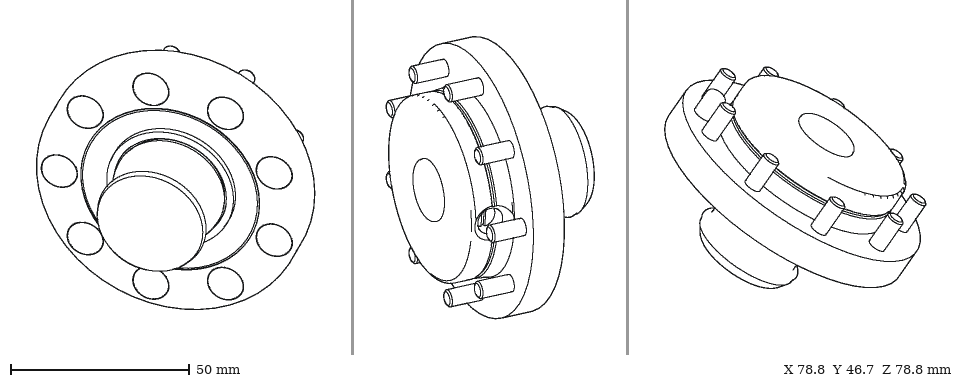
import cadquery as cq
import math


FLANGE_RADIUS = 39.4
FLANGE_FRONT = -10.0
FLANGE_EDGE_ROUND = 0.7
FLANGE_MIDDLE = FLANGE_FRONT / 2

HUB_BASE_RADIUS = 27.5
HUB_BASE_END = 0.5
HUB_SHOULDER_RADIUS = 27.3
HUB_SHOULDER_Y = 1.2
HUB_BODY_RADIUS = 26.95
GROOVE_RADIUS = 26.5
GROOVE_START = 5.05
GROOVE_FLOOR_START = 5.5
GROOVE_END = 6.4
HUB_END = 12.7
HUB_EDGE_ROUND = 0.95
PAD_RADIUS = 9.0
PAD_END = 14.0
PAD_EDGE_ROUND = 0.95

PORT_Y = 6.4
PORT_MOUTH_DIAMETER = 11.5
PORT_BORE_DIAMETER = 7.8
PORT_DEPTH = 8.0
PLUG_DIAMETER = 7.0
PLUG_HEIGHT = 2.0
PLUG_SLOT_WIDTH = 1.2
PLUG_SLOT_DEPTH = 1.0
PLUG_SLOT_TILT = 4.0

SEAM_RADIUS = 26.2
SEAM_WIDTH = 0.55
SEAM_DEPTH = 0.3
RECESS_RADIUS = 22.7
RECESS_FLOOR_RADIUS = 20.92
RECESS_DEPTH = 2.0
RECESS_ROUND = 1.0
COLLAR_RADIUS = 18.6
COLLAR_FRONT = FLANGE_FRONT + 0.1
COLLAR_BORE_RADIUS = 16.5
COLLAR_BORE_DEPTH = 1.0

KNOB_NECK_RADIUS = 15.7
KNOB_BULGE_RADIUS = 16.15
KNOB_BULGE_START = -10.5
KNOB_BULGE_END = -12.0
KNOB_CONE_START = (15.8, -12.9)
KNOB_CONE_END = (14.7, -14.6)
KNOB_WAIST_RADIUS = 14.0
KNOB_WAIST_START = -17.2
KNOB_WAIST_END = -25.6
KNOB_HEAD_CONE_START = (14.6, -26.4)
KNOB_HEAD_CONE_END = (15.65, -26.8)
KNOB_HEAD_RADIUS = 15.85
KNOB_HEAD_Y = -27.4
KNOB_TIP_CONE_START = (15.5, -28.9)
KNOB_TIP_CONE_END = (14.0, -31.2)
KNOB_TIP_RADIUS = 11.5
KNOB_TIP = -32.7

SCREW_COUNT = 9
SCREW_CIRCLE_RADIUS = 32.5
SCREW_HEAD_DIAMETER = 10.4
HEAD_GAP_WIDTH = 0.1
HEAD_GAP_DEPTH = 0.5
STUD_DIAMETER = 5.0
STUD_LENGTH = 10.3
STUD_CHAMFER = 0.5
DOWEL_DIAMETER = 6.0
DOWEL_LENGTH = 7.75
DOWEL_ROUND = 1.5


def turned(profile):
    """Turn a closed (radius, Y) profile about the Y axis."""
    return profile.close().revolve(360, (0, 0, 0), (0, 1, 0))


def rod(diameter, start, end, x=0.0, z=0.0):
    """Round bar parallel to Y between two Y positions."""
    plane = cq.Workplane("XZ", origin=(x, start, z))
    return plane.circle(diameter / 2).extrude(start - end)


def make_flange():
    body = rod(2 * FLANGE_RADIUS, 0, FLANGE_FRONT)
    return body.faces("<Y").edges().fillet(FLANGE_EDGE_ROUND)


def make_hub():
    profile = (
        cq.Workplane("XY")
        .moveTo(0, FLANGE_MIDDLE)
        .lineTo(HUB_BASE_RADIUS, FLANGE_MIDDLE)
        .lineTo(HUB_BASE_RADIUS, HUB_BASE_END)
        .lineTo(HUB_SHOULDER_RADIUS, HUB_SHOULDER_Y)
        .lineTo(HUB_BODY_RADIUS, GROOVE_START)
        .lineTo(GROOVE_RADIUS, GROOVE_FLOOR_START)
        .lineTo(GROOVE_RADIUS, GROOVE_END)
        .lineTo(HUB_BODY_RADIUS, GROOVE_END)
        .lineTo(HUB_BODY_RADIUS, HUB_END)
        .lineTo(0, HUB_END)
    )
    hub = turned(profile).faces(">Y").edges().fillet(HUB_EDGE_ROUND)
    pad = rod(2 * PAD_RADIUS, 0, PAD_END)
    return hub.union(pad.faces(">Y").edges().fillet(PAD_EDGE_ROUND))


def make_port():
    """Blind hole along +X with a 45 degree conical mouth."""
    mouth = PORT_MOUTH_DIAMETER / 2
    bore = PORT_BORE_DIAMETER / 2
    cone_depth = mouth - bore
    clearance = HUB_BASE_RADIUS - HUB_BODY_RADIUS
    mouth_x = -HUB_BASE_RADIUS
    bore_x = -HUB_BODY_RADIUS + cone_depth
    profile = (
        cq.Workplane("XY")
        .moveTo(mouth_x, PORT_Y)
        .lineTo(mouth_x, PORT_Y + mouth + clearance)
        .lineTo(bore_x, PORT_Y + bore)
        .lineTo(-HUB_BODY_RADIUS + PORT_DEPTH, PORT_Y + bore)
        .lineTo(-HUB_BODY_RADIUS + PORT_DEPTH, PORT_Y)
        .close()
    )
    return profile.revolve(360, (0, PORT_Y, 0), (1, PORT_Y, 0))


def make_port_plug():
    """Slotted plug on the floor of the port, its slot turned slightly from Z."""
    face_x = -HUB_BODY_RADIUS + PORT_DEPTH - PLUG_HEIGHT
    plane = cq.Workplane("YZ", origin=(face_x, PORT_Y, 0))
    plug = plane.circle(PLUG_DIAMETER / 2).extrude(PLUG_HEIGHT)
    slot = (
        plane.transformed(rotate=(0, 0, PLUG_SLOT_TILT))
        .rect(PLUG_SLOT_WIDTH, PLUG_DIAMETER)
        .extrude(PLUG_SLOT_DEPTH)
    )
    return plug.cut(slot)


def make_seam():
    """Shallow V-shaped ring on the front face."""
    profile = (
        cq.Workplane("XY")
        .moveTo(SEAM_RADIUS, FLANGE_FRONT)
        .lineTo(SEAM_RADIUS, FLANGE_FRONT + SEAM_DEPTH)
        .lineTo(SEAM_RADIUS - SEAM_WIDTH, FLANGE_FRONT)
    )
    return turned(profile)


def make_recess():
    """Ring-shaped recess with a sloped outer wall, and the bored collar inside it."""
    floor = FLANGE_FRONT + RECESS_DEPTH
    bore_floor = COLLAR_FRONT + COLLAR_BORE_DEPTH
    profile = (
        cq.Workplane("XY")
        .moveTo(0, FLANGE_FRONT)
        .lineTo(RECESS_RADIUS, FLANGE_FRONT)
        .lineTo(RECESS_FLOOR_RADIUS, floor)
        .lineTo(COLLAR_RADIUS, floor)
        .lineTo(COLLAR_RADIUS, COLLAR_FRONT)
        .lineTo(COLLAR_BORE_RADIUS, COLLAR_FRONT)
        .lineTo(COLLAR_BORE_RADIUS, bore_floor)
        .lineTo(0, bore_floor)
    )
    return turned(profile)


def recess_wall_edges():
    """Selector for the two circles that bound the sloped wall of the recess."""
    inner = (COLLAR_RADIUS + RECESS_FLOOR_RADIUS) / 2
    outer = (RECESS_RADIUS + FLANGE_RADIUS) / 2
    return front_box(outer) - front_box(inner)


def front_box(reach):
    """Selector for edges lying wholly in the flange thickness, within a reach of the axis."""
    low_corner = (-reach, 2 * FLANGE_FRONT, -reach)
    high_corner = (reach, 0, reach)
    return cq.selectors.BoxSelector(low_corner, high_corner, boundingbox=True)


def make_knob():
    profile = (
        cq.Workplane("XY")
        .moveTo(0, FLANGE_MIDDLE)
        .lineTo(KNOB_NECK_RADIUS, FLANGE_MIDDLE)
        .lineTo(KNOB_NECK_RADIUS, KNOB_BULGE_START)
        .lineTo(KNOB_BULGE_RADIUS, KNOB_BULGE_START)
        .lineTo(KNOB_BULGE_RADIUS, KNOB_BULGE_END)
        .tangentArcPoint(KNOB_CONE_START, relative=False)
        .lineTo(*KNOB_CONE_END)
        .tangentArcPoint((KNOB_WAIST_RADIUS, KNOB_WAIST_START), relative=False)
        .lineTo(KNOB_WAIST_RADIUS, KNOB_WAIST_END)
        .tangentArcPoint(KNOB_HEAD_CONE_START, relative=False)
        .lineTo(*KNOB_HEAD_CONE_END)
        .tangentArcPoint((KNOB_HEAD_RADIUS, KNOB_HEAD_Y), relative=False)
        .tangentArcPoint(KNOB_TIP_CONE_START, relative=False)
        .lineTo(*KNOB_TIP_CONE_END)
        .tangentArcPoint((KNOB_TIP_RADIUS, KNOB_TIP), relative=False)
        .lineTo(0, KNOB_TIP)
    )
    return turned(profile)


def screw_places():
    """(X, Z) of every screw; the first one lies on -X."""
    for index in range(SCREW_COUNT):
        angle = math.pi + 2 * math.pi * index / SCREW_COUNT
        yield SCREW_CIRCLE_RADIUS * math.cos(angle), SCREW_CIRCLE_RADIUS * math.sin(angle)


def make_stud(x, z):
    stud = rod(STUD_DIAMETER, FLANGE_MIDDLE, STUD_LENGTH, x, z)
    return stud.faces(">Y").edges().chamfer(STUD_CHAMFER)


def make_head_gap(x, z):
    """Thin ring around a screw head that is flush with the front face."""
    gap_end = FLANGE_FRONT + HEAD_GAP_DEPTH
    outside = rod(SCREW_HEAD_DIAMETER + 2 * HEAD_GAP_WIDTH, FLANGE_FRONT, gap_end, x, z)
    return outside.cut(rod(SCREW_HEAD_DIAMETER, FLANGE_FRONT, gap_end, x, z))


def make_dowel():
    dowel = rod(DOWEL_DIAMETER, FLANGE_MIDDLE, DOWEL_LENGTH, SCREW_CIRCLE_RADIUS)
    return dowel.faces(">Y").edges().fillet(DOWEL_ROUND)


result = make_flange().cut(make_recess())
result = result.edges(recess_wall_edges()).fillet(RECESS_ROUND)
result = result.cut(make_seam())
result = result.union(make_hub().cut(make_port()).union(make_port_plug()))
result = result.union(make_knob()).union(make_dowel())
for screw_x, screw_z in screw_places():
    result = result.union(make_stud(screw_x, screw_z))
    result = result.cut(make_head_gap(screw_x, screw_z))